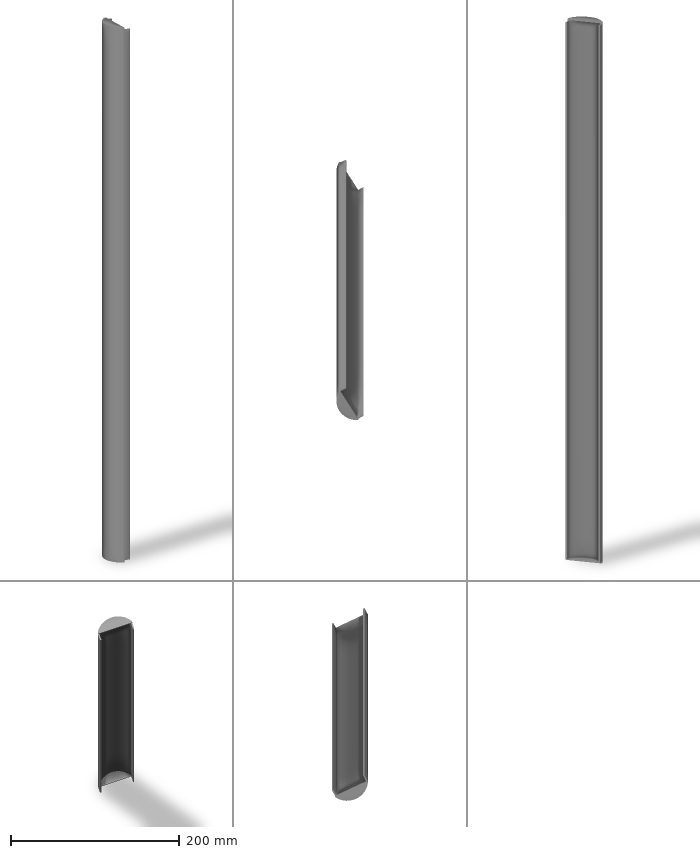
import cadquery as cq
import math

length = 675.0
width = 43.0
depth = 21.5

bow_radius = 25.0
leg_start_y = 2.85
wall = 1.7
leg_setback = 1.0
tip_radius = 1.0

cap_thickness = 2.0
cap_back_y = 3.05

half_length = length / 2
half_width = width / 2
front_y = -depth / 2
back_y = depth / 2
rail_length = length - 2 * cap_thickness
rail_bottom_z = -rail_length / 2

bow_center_y = front_y + bow_radius
rise = bow_center_y - leg_start_y
corner_radius = (bow_radius**2 - half_width**2 - rise**2) / (2 * (bow_radius - half_width))
corner_center_x = half_width - corner_radius
tangent_angle = math.atan2(corner_center_x, rise)
middle_angle = (tangent_angle + math.pi / 2) / 2


def corner_point(angle, inset):
    """Point on the +X corner arc, moved inward by the inset."""
    radius = corner_radius - inset
    return corner_center_x + radius * math.sin(angle), leg_start_y - radius * math.cos(angle)


def bowed_bar(bottom_z, height, top_y, inset=0.0):
    """Bar with a bowed front, rounded corners and straight sides up to top_y."""
    side_x = half_width - inset
    joint_x, joint_y = corner_point(tangent_angle, inset)
    middle_x, middle_y = corner_point(middle_angle, inset)
    return (
        cq.Workplane("XY", origin=(0, 0, bottom_z))
        .moveTo(-side_x, top_y)
        .lineTo(-side_x, leg_start_y)
        .threePointArc((-middle_x, middle_y), (-joint_x, joint_y))
        .threePointArc((0, front_y + inset), (joint_x, joint_y))
        .threePointArc((middle_x, middle_y), (side_x, leg_start_y))
        .lineTo(side_x, top_y)
        .close()
        .extrude(height)
    )


def leg_end_trim(end):
    """Block that shortens both legs behind the cap at one end (-1 bottom, 1 top)."""
    trim_depth = back_y - cap_back_y
    return (
        cq.Workplane("XY")
        .box(width, trim_depth, leg_setback)
        .translate((0, cap_back_y + trim_depth / 2, end * (rail_length - leg_setback) / 2))
    )


def make_rail():
    """Open-backed rail: a bowed front wall with a leg along each side."""
    outside = bowed_bar(rail_bottom_z, rail_length, back_y)
    for side in ("<X", ">X"):
        outside = outside.edges("|Z").edges(">Y").edges(side).fillet(tip_radius)
    cavity = bowed_bar(rail_bottom_z, rail_length, back_y, inset=wall)
    rail_body = outside.cut(cavity)
    for end in (-1, 1):
        rail_body = rail_body.cut(leg_end_trim(end))
    return rail_body


def make_cap(bottom_z):
    """Flat plate closing one end of the rail up to the start of the legs."""
    return bowed_bar(bottom_z, cap_thickness, cap_back_y)


rail = make_rail()
caps = [make_cap(bottom_z) for bottom_z in (-half_length, half_length - cap_thickness)]

result = cq.Compound.makeCompound([rail.val(), *[cap.val() for cap in caps]])